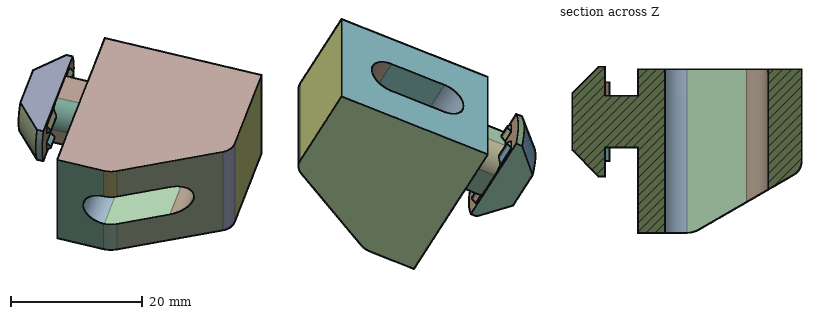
import cadquery as cq
import math

total_length = 35.0
total_depth = 25.35
block_size = 25.0
block_height = 19.0
block_left = total_length - block_size
slope_angle = 30.0
slope_start = 18.45
front_bend_radius = 4.0
side_bend_radius = 2.5

slot_width = 6.6
slot_left = 14.18
slot_length = 15.65

head_half_length = 8.35
head_end_radius = 10.0
face_half_length = 4.35
face_end_radius = 7.0
head_thickness = 5.0
head_rim = 1.0
head_height = 7.28
axis_y = total_depth - head_half_length
axis_z = block_height / 2
shank_width = 7.9
shank_height = slot_width
shank_corner_radius = 3.45

tooth_length = 12.0
tooth_apex = 0.85
tooth_tip_radius = 0.35
tooth_offset = 2.0


def make_block():
    """Square block with one corner cut by a slope and softened at both bends."""
    slope_rise = (total_length - slope_start) * math.tan(math.radians(slope_angle))
    block = (
        cq.Workplane("XY")
        .moveTo(block_left, 0)
        .lineTo(slope_start, 0)
        .lineTo(total_length, slope_rise)
        .lineTo(total_length, block_size)
        .lineTo(block_left, block_size)
        .close()
        .extrude(block_height)
    )
    front_bend = cq.NearestToPointSelector((slope_start, 0, axis_z))
    side_bend = cq.NearestToPointSelector((total_length, slope_rise, axis_z))
    block = block.edges("|Z").edges(front_bend).fillet(front_bend_radius)
    return block.edges("|Z").edges(side_bend).fillet(side_bend_radius)


def make_slot():
    """Round-ended cutter running through the block along Y."""
    return (
        cq.Workplane("XZ")
        .center(slot_left + slot_length / 2, axis_z)
        .slot2D(slot_length, slot_width)
        .extrude(-block_size)
    )


def head_outline(plane, half_length, end_radius):
    """Bar outline with flat long sides and bulging arc ends."""
    half_height = head_height / 2
    bulge = end_radius - math.sqrt(end_radius**2 - half_height**2)
    corner_y = half_length - bulge
    return (
        plane.moveTo(-corner_y, -half_height)
        .lineTo(corner_y, -half_height)
        .threePointArc((half_length, 0), (corner_y, half_height))
        .lineTo(-corner_y, half_height)
        .threePointArc((-half_length, 0), (-corner_y, -half_height))
        .close()
    )


def make_head():
    """Bar with a straight rim and ends tapering to a shorter outer face."""
    taper_length = head_thickness - head_rim
    face_plane = cq.Workplane("YZ", origin=(0, axis_y, axis_z))
    rim_plane = cq.Workplane("YZ", origin=(taper_length, axis_y, axis_z))
    face = head_outline(face_plane, face_half_length, face_end_radius)
    taper = head_outline(
        face.workplane(offset=taper_length), head_half_length, head_end_radius
    ).loft(ruled=True)
    rim = head_outline(rim_plane, head_half_length, head_end_radius).extrude(head_rim)
    return taper.union(rim)


def make_shank():
    """Rectangular neck with two diagonally opposite corners rounded."""
    shank = (
        cq.Workplane("YZ", origin=(head_thickness, axis_y, axis_z))
        .rect(shank_width, shank_height)
        .extrude(block_left - head_thickness)
    )
    shank = shank.edges("|X").edges("<Y and >Z").fillet(shank_corner_radius)
    return shank.edges("|X").edges(">Y and <Z").fillet(shank_corner_radius)


def make_tooth(offset_z):
    """Right-angled ridge along Y with a rounded tip."""
    ridge = (
        cq.Workplane("XZ", origin=(head_thickness, axis_y + tooth_length / 2, axis_z + offset_z))
        .moveTo(0, -tooth_apex)
        .lineTo(tooth_apex, 0)
        .lineTo(0, tooth_apex)
        .close()
        .extrude(tooth_length)
    )
    return ridge.edges("|Y").edges(">X").fillet(tooth_tip_radius)


result = make_block().cut(make_slot()).union(make_shank()).union(make_head())
for side in (-1, 1):
    result = result.union(make_tooth(side * tooth_offset))